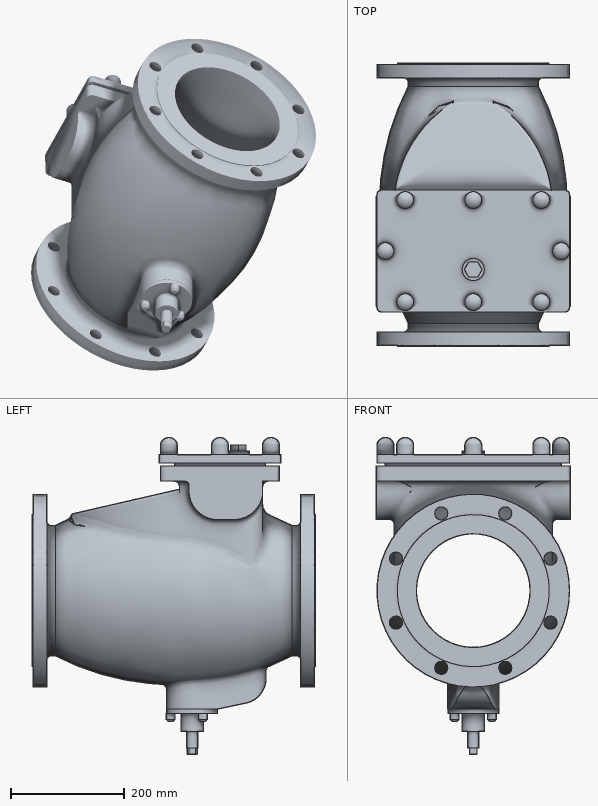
import cadquery as cq
import math

length = 500.0
bore_dia = 200.0
end_flange_dia = 340.0
end_flange_thick = 24.0
raised_face_dia = 268.0
raised_face_height = 2.0
bolt_hole_dia = 23.0
bolt_circle_dia = 295.0
bolt_hole_count = 8
neck_dia = 230.0
neck_end_y = 209.0
neck_fillet = 8.0
body_max_radius = 166.0

chamber_half_width = 140.0
chamber_back_y = -157.0
chamber_corner_radius = 30.0
chamber_arc_start_y = -5.0
chamber_tip_y = 181.0
chamber_tip_half_width = 36.0
roof_high_z = 179.0
roof_low_z = 135.0
roof_edge_fillet = 6.0
chamber_root_fillet = 20.0
chamber_tip_root_fillet = 10.0
throat_front_y = -10.0

cover_center_y = -81.5
seat_width = 343.0
seat_depth = 210.0
seat_bottom_z = 193.0
seat_top_z = 220.0
seat_corner_radius = 11.0
seat_root_fillet = 10.0
gasket_width = 311.0
gasket_depth = 161.0
gasket_corner_radius = 10.0
cover_width = 340.0
cover_depth = 215.0
cover_bottom_z = 225.0
cover_top_z = 240.0
cover_corner_radius = 8.0

pad_center_y = -92.0
pad_width = 130.0
pad_bottom_z = 125.5
pad_corner_radius = 50.0
pad_root_fillet = 8.0

cap_nut_dia = 30.0
cap_dome_height = 12.0
part_top_z = 270.31
nut_row_spacing = 90.0
nut_corner_x = 120.0
nut_side_x = 155.0
plug_y = -114.0
plug_collar_dia = 39.0
plug_collar_height = 6.0
plug_hex_flats = 27.0
plug_hex_height = 11.0

shaft_y = -32.5
housing_dia = 91.0
housing_bottom_z = -209.0
housing_slope_start_y = -77.5
housing_end_y = -163.0
housing_end_half_width = 26.0
housing_end_corner_radius = 28.0
housing_slope_end_y = -130.0
housing_slope_end_z = -198.0
housing_slope_arc_radius = 46.0
housing_end_top_z = -157.0
housing_root_fillet = 8.0
gland_plate_dia = 90.0
gland_plate_thick = 8.0
gland_screw_count = 3
gland_screw_dia = 16.0
gland_screw_circle_radius = 38.0
gland_screw_length = 14.0
gland_screw_chamfer = 4.0
gland_dia = 40.0
gland_bottom_z = -248.5
shaft_dia = 20.0
shaft_bottom_z = -277.5
shaft_tip_z = -289.0
shaft_tip_dia = 18.0
shaft_tip_flats = 13.5
shaft_tip_chamfer = 1.0

margin = 20.0
tolerance = 0.05


def block(width, depth, center_y, bottom_z, top_z, corner_radius):
    base = cq.Workplane("XY", origin=(0, center_y, bottom_z))
    plate = base.rect(width, depth).extrude(top_z - bottom_z)
    return plate.edges("|Z").fillet(corner_radius)


def cylinder(diameter, x, y, bottom_z, top_z):
    return cq.Workplane("XY", origin=(x, y, bottom_z)).circle(diameter / 2).extrude(top_z - bottom_z)


def barrel_radius(y):
    """Outer radius of the bulging barrel at a station along the pipe."""
    rise = body_max_radius - neck_dia / 2
    arc_radius = (neck_end_y**2 + rise**2) / (2 * rise)
    return body_max_radius - arc_radius + math.sqrt(arc_radius**2 - y**2)


def on_barrel(point):
    if abs(point.y) >= neck_end_y:
        return False
    return abs(math.hypot(point.x, point.z) - barrel_radius(point.y)) < tolerance


def edges_where(shape, test):
    """Edges along which the test holds at three sampled points."""
    samples = (0.1, 0.5, 0.9)
    return [e for e in shape.edges().vals() if all(test(e.positionAt(t)) for t in samples)]


def fillet_where(shape, test, radius):
    return shape.newObject(edges_where(shape, test)).fillet(radius)


def pipe_body():
    """Solid barrel with its two end flanges, revolved about Y."""
    half = length / 2
    face_y = half - raised_face_height
    back_y = face_y - end_flange_thick
    neck_r = neck_dia / 2
    profile = (
        cq.Workplane("XY")
        .moveTo(0, -half)
        .lineTo(raised_face_dia / 2, -half)
        .lineTo(raised_face_dia / 2, -face_y)
        .lineTo(end_flange_dia / 2, -face_y)
        .lineTo(end_flange_dia / 2, -back_y)
        .lineTo(neck_r + neck_fillet, -back_y)
        .radiusArc((neck_r, -back_y + neck_fillet), neck_fillet)
        .lineTo(neck_r, -neck_end_y)
        .threePointArc((body_max_radius, 0), (neck_r, neck_end_y))
        .lineTo(neck_r, back_y - neck_fillet)
        .radiusArc((neck_r + neck_fillet, back_y), neck_fillet)
        .lineTo(end_flange_dia / 2, back_y)
        .lineTo(end_flange_dia / 2, face_y)
        .lineTo(raised_face_dia / 2, face_y)
        .lineTo(raised_face_dia / 2, half)
        .lineTo(0, half)
        .close()
    )
    return profile.revolve(360, (0, 0, 0), (0, 1, 0))


def roof_height(y):
    """Height of the chamber roof, falling evenly from the throat to the tip."""
    fall = (roof_high_z - roof_low_z) / (chamber_tip_y - throat_front_y)
    return roof_high_z - fall * (y - throat_front_y)


def chamber_prism():
    """Ogive-plan prism standing on the pipe axis: straight sides, arcs narrowing to a flat tip."""
    w = chamber_half_width
    inset = w - chamber_tip_half_width
    run = chamber_tip_y - chamber_arc_start_y
    radius = (inset**2 + run**2) / (2 * inset)
    prism = (
        cq.Workplane("XY")
        .moveTo(-w, chamber_back_y)
        .lineTo(w, chamber_back_y)
        .lineTo(w, chamber_arc_start_y)
        .radiusArc((chamber_tip_half_width, chamber_tip_y), -radius)
        .lineTo(-chamber_tip_half_width, chamber_tip_y)
        .radiusArc((-w, chamber_arc_start_y), -radius)
        .close()
        .extrude(seat_bottom_z)
    )
    return prism.edges("|Z and (<Y)").fillet(chamber_corner_radius)


def space_above_roof():
    """Wedge over the sloping roof, in front of the throat."""
    end_y = chamber_tip_y + margin
    return (
        cq.Workplane("YZ")
        .moveTo(throat_front_y, roof_high_z)
        .lineTo(end_y, roof_height(end_y))
        .lineTo(end_y, seat_top_z)
        .lineTo(throat_front_y, seat_top_z)
        .close()
        .extrude(chamber_half_width + margin, both=True)
    )


def side_pads():
    """Flat round-bottomed pads carrying the cover flange past both chamber sides."""
    pad = (
        cq.Workplane("YZ")
        .center(pad_center_y, (pad_bottom_z + seat_top_z) / 2)
        .rect(pad_width, seat_top_z - pad_bottom_z)
        .extrude(seat_width / 2, both=True)
    )
    return pad.edges("|X and (<Z)").fillet(pad_corner_radius)


def chamber_top():
    """Chamber above the pipe axis joined to its side pads and cover flange."""
    shape = chamber_prism().cut(space_above_roof())
    shape = shape.union(
        block(seat_width, seat_depth, cover_center_y, seat_bottom_z, seat_top_z, seat_corner_radius)
    )

    def under_seat(p):
        inside_x = abs(p.x) < chamber_half_width + tolerance
        inside_y = abs(p.y - cover_center_y) < seat_depth / 2 - tolerance
        return abs(p.z - seat_bottom_z) < tolerance and inside_x and inside_y

    def around_pad(p):
        on_wall = abs(abs(p.x) - chamber_half_width) < tolerance
        beside_pad = abs(p.y - pad_center_y) < pad_width / 2 + tolerance
        return on_wall and beside_pad and pad_bottom_z - tolerance < p.z < seat_bottom_z - tolerance

    shape = fillet_where(shape, under_seat, seat_root_fillet).union(side_pads())
    return fillet_where(shape, around_pad, pad_root_fillet)


def cast_body():
    """Barrel, chamber and shaft housing blended into one casting."""
    clearance = chamber_prism().intersect(space_above_roof())
    shape = pipe_body().cut(clearance).union(chamber_top())

    def at_tip(p):
        return abs(p.y - chamber_tip_y) < tolerance

    def chamber_root(p):
        return on_barrel(p) and p.z > tolerance and not at_tip(p)

    def tip_root(p):
        return on_barrel(p) and p.z > tolerance and at_tip(p)

    def roof_rim(p):
        return abs(p.z - roof_height(p.y)) < tolerance and p.y > throat_front_y + tolerance

    shape = fillet_where(shape, chamber_root, chamber_root_fillet)
    shape = fillet_where(shape, tip_root, chamber_tip_root_fillet)
    shape = fillet_where(shape, roof_rim, roof_edge_fillet)

    def housing_root(p):
        return on_barrel(p) and p.z < -tolerance

    shape = shape.union(shaft_housing())
    return fillet_where(shape, housing_root, housing_root_fillet)


def bore_and_bolt_holes():
    """Straight bore through the pipe and the bolt circle of each end flange."""
    start = cq.Workplane("XZ", origin=(0, -length / 2 - margin, 0))
    depth = length + 2 * margin
    bore = start.circle(bore_dia / 2).extrude(-depth)
    pitch = 360 / bolt_hole_count
    flange_span = end_flange_thick + raised_face_height
    for flange_start_y in (-length / 2, length / 2 - flange_span):
        holes = (
            cq.Workplane("XZ", origin=(0, flange_start_y, 0))
            .polarArray(bolt_circle_dia / 2, pitch / 2, 360, bolt_hole_count)
            .circle(bolt_hole_dia / 2)
            .extrude(-flange_span)
        )
        bore = bore.union(holes)
    return bore


def cap_nut(x, y):
    """Round nut body under a shallow spherical cap."""
    r = cap_nut_dia / 2
    shoulder_z = part_top_z - cap_dome_height
    sphere_radius = (r**2 + cap_dome_height**2) / (2 * cap_dome_height)
    profile = (
        cq.Workplane("XZ", origin=(x, y, 0))
        .moveTo(0, cover_top_z)
        .lineTo(r, cover_top_z)
        .lineTo(r, shoulder_z)
        .radiusArc((0, part_top_z), -sphere_radius)
        .close()
    )
    return profile.revolve(360, (0, 0, 0), (0, 1, 0))


def cover_assembly():
    """Gasket, cover plate, its eight cap nuts and the hexagon plug."""
    gasket = block(
        gasket_width, gasket_depth, cover_center_y, seat_top_z, cover_bottom_z, gasket_corner_radius
    )
    cover = block(
        cover_width, cover_depth, cover_center_y, cover_bottom_z, cover_top_z, cover_corner_radius
    )
    shape = gasket.union(cover)
    rows = [cover_center_y - nut_row_spacing, cover_center_y + nut_row_spacing]
    places = [(x, y) for y in rows for x in (-nut_corner_x, 0, nut_corner_x)]
    places += [(-nut_side_x, cover_center_y), (nut_side_x, cover_center_y)]
    for x, y in places:
        shape = shape.union(cap_nut(x, y))
    collar_top = cover_top_z + plug_collar_height
    shape = shape.union(cylinder(plug_collar_dia, 0, plug_y, cover_top_z, collar_top))
    hex_corners = plug_hex_flats / math.cos(math.pi / 6)
    head_base = cq.Workplane("XY", origin=(0, plug_y, collar_top))
    head = head_base.polygon(6, hex_corners).extrude(plug_hex_height)
    return shape.union(head)


def shaft_housing():
    """Round housing with a tapering tail that slopes up towards the -Y end."""
    r = housing_dia / 2
    end_distance = math.hypot(housing_end_half_width, housing_end_y - shaft_y)
    end_angle = math.atan2(housing_end_y - shaft_y, housing_end_half_width)
    tangent_angle = end_angle + math.acos(r / end_distance)
    tangent_x = r * math.cos(tangent_angle)
    tangent_y = shaft_y + r * math.sin(tangent_angle)
    tail = (
        cq.Workplane("XY", origin=(0, 0, housing_bottom_z))
        .moveTo(-tangent_x, tangent_y)
        .threePointArc((0, shaft_y + r), (tangent_x, tangent_y))
        .lineTo(housing_end_half_width, housing_end_y)
        .lineTo(-housing_end_half_width, housing_end_y)
        .close()
        .extrude(-housing_bottom_z)
    )
    end_corners = [e for e in tail.edges("|Z").vals() if abs(e.Center().y - housing_end_y) < tolerance]
    tail = tail.newObject(end_corners).fillet(housing_end_corner_radius)
    side = (
        cq.Workplane("YZ")
        .moveTo(shaft_y + r + margin, 0)
        .lineTo(shaft_y + r + margin, housing_bottom_z)
        .lineTo(housing_slope_start_y, housing_bottom_z)
        .lineTo(housing_slope_end_y, housing_slope_end_z)
        .radiusArc((housing_end_y, housing_end_top_z), housing_slope_arc_radius)
        .lineTo(housing_end_y, 0)
        .close()
        .extrude(r + margin, both=True)
    )
    return tail.intersect(side)


def shaft_assembly():
    """Gland plate with its screws, gland, and the shaft ending in two flats."""
    plate_z = housing_bottom_z - gland_plate_thick
    shape = cylinder(gland_plate_dia, 0, shaft_y, plate_z, housing_bottom_z)
    shape = shape.union(cylinder(gland_dia, 0, shaft_y, gland_bottom_z, plate_z))
    shape = shape.union(cylinder(shaft_dia, 0, shaft_y, shaft_bottom_z, gland_bottom_z))
    tip = cylinder(shaft_tip_dia, 0, shaft_y, shaft_tip_z, shaft_bottom_z)
    flats = (
        cq.Workplane("XY", origin=(0, shaft_y, shaft_tip_z))
        .rect(shaft_tip_flats, shaft_tip_dia + margin)
        .extrude(shaft_bottom_z - shaft_tip_z)
    )
    shape = shape.union(tip.intersect(flats).faces("<Z").chamfer(shaft_tip_chamfer))
    for index in range(gland_screw_count):
        angle = math.pi / 2 + index * 2 * math.pi / gland_screw_count
        x = gland_screw_circle_radius * math.cos(angle)
        y = shaft_y + gland_screw_circle_radius * math.sin(angle)
        screw = cylinder(gland_screw_dia, x, y, plate_z - gland_screw_length, plate_z)
        shape = shape.union(screw.faces("<Z").chamfer(gland_screw_chamfer))
    return shape


casting = cast_body().cut(bore_and_bolt_holes())
result = casting.union(cover_assembly()).union(shaft_assembly())